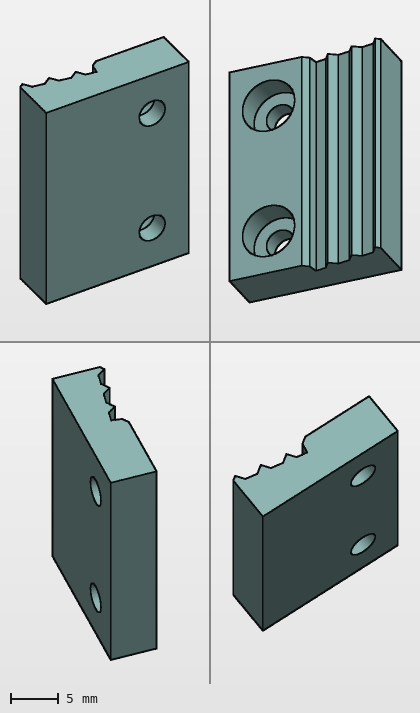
import cadquery as cq
import math

height = 25.0
length = 17.5
thickness = 5.15
tilt = 10.0
right_corner_x = 4.05
right_corner_y = -8.15

recess_floor_x = -0.82
recess_top_y = -0.6
lip_x = -2.0
tooth_height = 0.8
tooth_pitch = 3.0
tooth_count = 3
first_tooth_y = -2.65

hole_diameter = 3.15
counterbore_diameter = 6.0
counterbore_depth = 3.0
hole_from_end = 4.5
hole_spacing = 15.0

sin_tilt = math.sin(math.radians(tilt))
cos_tilt = math.cos(math.radians(tilt))
tan_tilt = sin_tilt / cos_tilt

back_corner = (right_corner_x - length * sin_tilt, right_corner_y + length * cos_tilt)
face_corner = (back_corner[0] - thickness * cos_tilt, back_corner[1] - thickness * sin_tilt)


def lip_chamfer_start():
    """Point where the 45 degree lip chamfer meets the tilted face."""
    corner_x, corner_y = face_corner
    x = (corner_x + (corner_y - recess_top_y - lip_x) * tan_tilt) / (1 - tan_tilt)
    return (x, recess_top_y + lip_x - x)


def tooth_foot(tip_x, tip_y):
    """Point where the lower flank of the last tooth meets the tilted end face."""
    end_face_y = right_corner_y + (tip_x - right_corner_x) * tan_tilt
    run = (tip_y - end_face_y) / (1 + tan_tilt)
    return (tip_x + run, tip_y - run)


def profile_points():
    points = [
        (right_corner_x, right_corner_y),
        back_corner,
        face_corner,
        lip_chamfer_start(),
        (lip_x, recess_top_y),
        (recess_floor_x, recess_top_y),
    ]
    tip_x = recess_floor_x - tooth_height
    for index in range(tooth_count):
        tip_y = first_tooth_y - index * tooth_pitch
        points.append((recess_floor_x, tip_y + tooth_height))
        points.append((tip_x, tip_y))
        if index < tooth_count - 1:
            points.append((recess_floor_x, tip_y - tooth_height))
        else:
            points.append(tooth_foot(tip_x, tip_y))
    return points


body = (
    cq.Workplane("XY")
    .workplane(offset=-height / 2)
    .polyline(profile_points())
    .close()
    .extrude(height)
)

tilted_face = cq.Plane(
    origin=(face_corner[0], face_corner[1], 0),
    xDir=(sin_tilt, -cos_tilt, 0),
    normal=(-cos_tilt, -sin_tilt, 0),
)

result = (
    cq.Workplane(tilted_face)
    .add(body)
    .pushPoints([(hole_from_end, side * hole_spacing / 2) for side in (-1, 1)])
    .cboreHole(hole_diameter, counterbore_diameter, counterbore_depth)
)